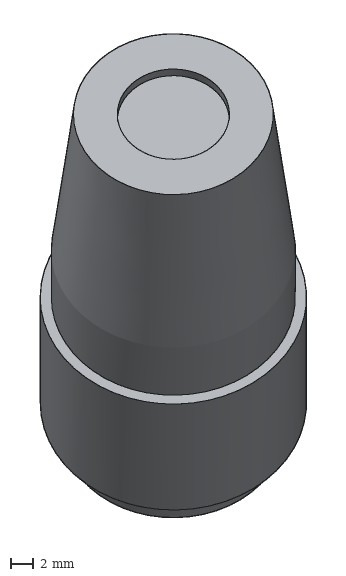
import cadquery as cq

total_height = 47.6
spigot_height = 3.75
collar_height = 16.1
band_height = 7.2
spigot_diameter = 20.2
collar_diameter = 24.0
band_diameter = 22.0
tip_diameter = 18.0
recess_diameter = 10.1
recess_depth = 1.0

collar_top = spigot_height + collar_height
band_top = collar_top + band_height


def cylinder(diameter, bottom, height):
    """Upright cylinder on the Z axis."""
    return cq.Workplane("XY").workplane(offset=bottom).circle(diameter / 2).extrude(height)


def tapered_nose():
    """Conical nose narrowing from the band to the tip."""
    return (
        cq.Workplane("XZ")
        .moveTo(0, band_top)
        .lineTo(band_diameter / 2, band_top)
        .lineTo(tip_diameter / 2, total_height)
        .lineTo(0, total_height)
        .close()
        .revolve(360, (0, 0), (0, 1))
    )


spigot = cylinder(spigot_diameter, 0, spigot_height)
collar = cylinder(collar_diameter, spigot_height, collar_height)
band = cylinder(band_diameter, collar_top, band_height)
recess = cylinder(recess_diameter, total_height - recess_depth, recess_depth)

result = spigot.union(collar).union(band).union(tapered_nose()).cut(recess)